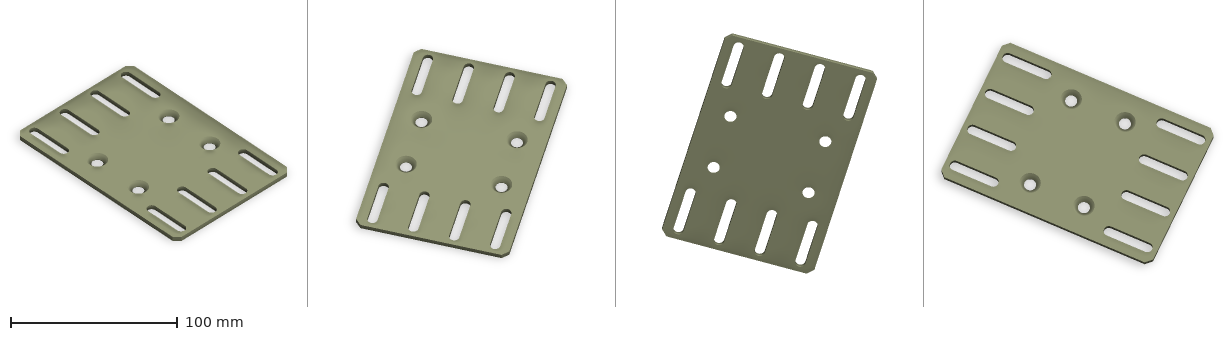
import cadquery as cq

length = 139.7
width = 95.3
thickness = 3.1
corner_chamfer = 3.8

slot_length = 31.7
slot_width = 6.3
slot_rows = 4
slot_pitch = 25.4
slot_column_spacing = 101.5

hole_spacing_x = 35.5
hole_spacing_y = 59.4
hole_diameter = 7.3
countersink_diameter = 12.9
countersink_angle = 90


def make_plate():
    blank = cq.Workplane("XY").box(length, width, thickness, centered=(True, True, False))
    return blank.edges("|Z").chamfer(corner_chamfer)


def cut_slots(plate):
    return (
        plate.faces(">Z")
        .workplane(origin=(0, 0, thickness))
        .rarray(slot_column_spacing, slot_pitch, 2, slot_rows)
        .slot2D(slot_length, slot_width)
        .cutThruAll()
    )


def cut_screw_holes(plate):
    return (
        plate.faces(">Z")
        .workplane(origin=(0, 0, thickness))
        .rarray(hole_spacing_x, hole_spacing_y, 2, 2)
        .cskHole(hole_diameter, countersink_diameter, countersink_angle)
    )


result = cut_screw_holes(cut_slots(make_plate()))